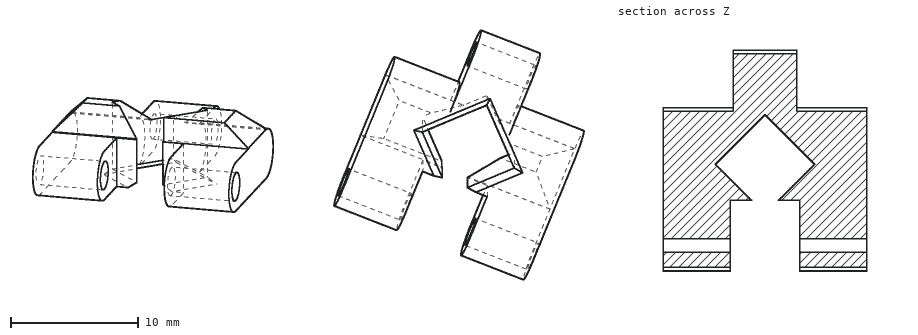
import cadquery as cq
import math

width = 16.0
length = 17.35
height = 6.0

bar_height = 4.0
end_radius = bar_height / 2
axis_height = bar_height / 2
back_axis_y = length - 2 * end_radius
bar_back_axis_y = 8.83
back_lug_width = 5.0
leg_gap = 5.45
bar_front_y = 3.54
front_hole_diameter = 2.25
back_hole_diameter = 2.0

block_front_y = 3.6
block_height = height - bar_height
block_chamfer = 1.95

diamond_half_diagonal = 3.89
diamond_center_y = 6.37
diamond_angle = 45
flare = 0.5
flare_angle = 45
flare_half_diagonal = diamond_half_diagonal + flare * math.sqrt(2)


def rounded_bar(total_width, front_y, back_y):
    """Bar across X with full round ends about the axes at front_y and back_y."""
    return (
        cq.Workplane("YZ", origin=(-total_width / 2, 0, axis_height))
        .center((front_y + back_y) / 2, 0)
        .slot2D(back_y - front_y + 2 * end_radius, 2 * end_radius)
        .extrude(total_width)
    )


def hinge_hole(diameter, axis_y):
    """Cutter along X through the full width."""
    return (
        cq.Workplane("YZ", origin=(-width / 2, axis_y, axis_height))
        .circle(diameter / 2)
        .extrude(width)
    )


def raised_block(side, chamfered_edges):
    """Half-width block on the bar; side is -1 for the left and 1 for the right."""
    depth = bar_back_axis_y - block_front_y
    return (
        cq.Workplane("XY")
        .box(width / 2, depth, block_height, centered=(True, False, False))
        .faces(">Z")
        .edges(chamfered_edges)
        .chamfer(block_chamfer)
        .translate((side * width / 4, block_front_y, bar_height))
    )


def diamond(half_diagonal):
    """Diamond outline on the underside, ready to extrude."""
    return (
        cq.Workplane("XY", origin=(0, diamond_center_y, 0))
        .transformed(rotate=(0, 0, diamond_angle))
        .rect(half_diagonal * math.sqrt(2), half_diagonal * math.sqrt(2))
    )


main_bar = rounded_bar(width, 0, bar_back_axis_y)
leg_slot = (
    cq.Workplane("XY", origin=(0, -end_radius, 0))
    .box(leg_gap, bar_front_y + end_radius, bar_height, centered=(True, False, False))
)
body = main_bar.cut(leg_slot)

back_lug = rounded_bar(back_lug_width, bar_back_axis_y - end_radius, back_axis_y)
body = body.union(back_lug)

body = body.union(raised_block(-1, "<X or <Y or >Y"))
body = body.union(raised_block(1, ">X or >Y"))

opening = diamond(diamond_half_diagonal).extrude(height)
flare_cutter = diamond(flare_half_diagonal).extrude(flare, taper=flare_angle)
body = body.cut(opening).cut(flare_cutter)

body = body.cut(hinge_hole(front_hole_diameter, 0))
body = body.cut(hinge_hole(back_hole_diameter, back_axis_y))

result = body